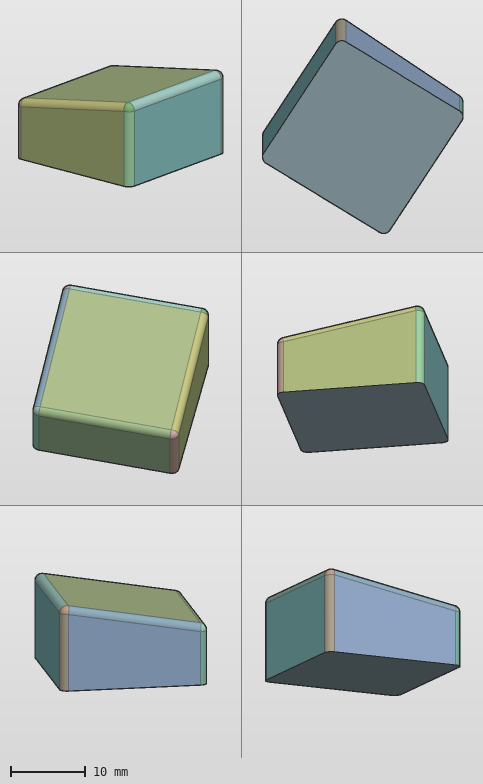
import cadquery as cq
import math

side = 20.0
middle_height = 10.0
slope_angle = 10.0
edge_radius = 1.0

half_side = side / 2
half_rise = half_side * math.tan(math.radians(slope_angle))

wedge = (
    cq.Workplane("XZ")
    .moveTo(-half_side, 0)
    .lineTo(half_side, 0)
    .lineTo(half_side, middle_height + half_rise)
    .lineTo(-half_side, middle_height - half_rise)
    .close()
    .extrude(half_side, both=True)
)

rounded_edges = wedge.newObject(
    [edge for edge in wedge.edges().vals() if edge.Center().z > 0]
)
result = rounded_edges.fillet(edge_radius)